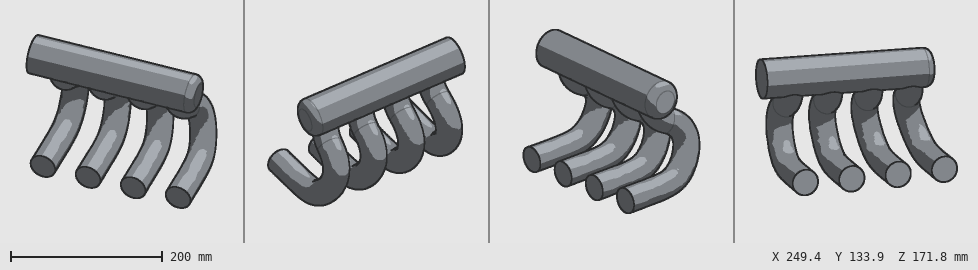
import cadquery as cq
import math

header_length = 233.7
header_diameter = 52.4
end_rounding = 10.5

overall_length = 249.4
overall_height = 171.8
runner_count = 4
runner_diameter = 35.2
first_runner_x = 39.6
swing_step = 5.0
front_y = -67.3
outlet_slope = 2.0

upper_bend_drop = 8.0
upper_bend_radius = 36.0
joint_angle = 67.0
joint_handle = 43.5
back_control = (70.3, -95.0)
bottom_control = (-1.2, -130.2)
outlet_handle = 117.5

runner_radius = runner_diameter / 2
outlet_tilt = math.radians(outlet_slope)
outlet_y = front_y + runner_radius * math.sin(outlet_tilt)
outlet_drop = overall_height - header_diameter / 2 - runner_radius * math.cos(outlet_tilt)
last_swing = swing_step * (runner_count - 1)
last_runner_x = overall_length - runner_radius - outlet_drop * math.sin(math.radians(last_swing))
runner_pitch = (last_runner_x - first_runner_x) / (runner_count - 1)


def point_on_circle(center, radius, angle):
    """Point in the YZ plane, angle in degrees from +Y towards +Z."""
    turn = math.radians(angle)
    return (center[0] + radius * math.cos(turn), center[1] + radius * math.sin(turn))


def make_header():
    return (
        cq.Workplane("YZ")
        .circle(header_diameter / 2)
        .extrude(header_length)
        .faces(">X")
        .edges()
        .fillet(end_rounding)
    )


def make_runner():
    """Rod from the header axis down, back and round to the front outlet."""
    upper_center = (upper_bend_radius, -upper_bend_drop)
    joint = point_on_circle(upper_center, upper_bend_radius, 180 + joint_angle)
    upper_middle = point_on_circle(upper_center, upper_bend_radius, 180 + joint_angle / 2)

    outlet_center = (outlet_y, -outlet_drop)
    joint_control = point_on_circle(joint, joint_handle, joint_angle - 90)
    outlet_control = point_on_circle(outlet_center, outlet_handle, outlet_slope)

    path = (
        cq.Workplane("YZ")
        .lineTo(0, -upper_bend_drop)
        .threePointArc(upper_middle, joint)
        .bezier(
            [joint_control, back_control, bottom_control, outlet_control, outlet_center],
            includeCurrent=True,
        )
    )
    return cq.Workplane("XY").circle(runner_radius).sweep(path)


result = make_header()
runner = make_runner()
for index in range(runner_count):
    swung = runner.rotate((0, 0, 0), (0, 1, 0), -swing_step * index)
    result = result.union(swung.translate((first_runner_x + runner_pitch * index, 0, 0)))